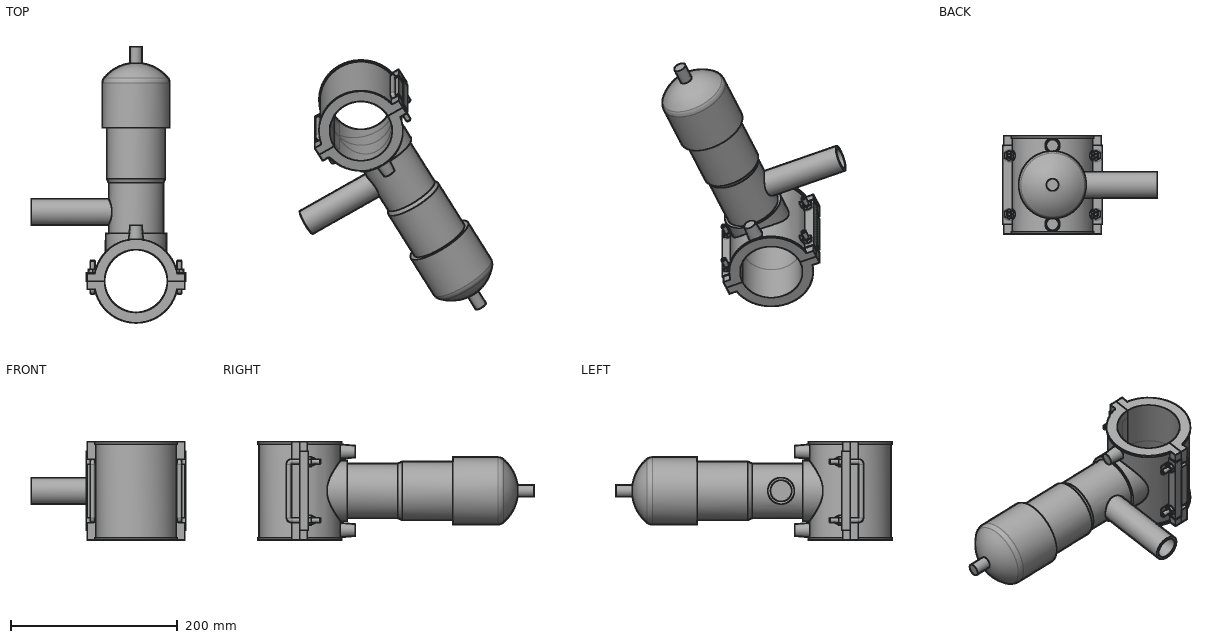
import cadquery as cq
import math


overall_length = 331.7

saddle_height = 118.0
bore_radius = 37.5
shell_radius = 49.0
rim_radius = 50.5
rim_thickness = 3.0
ear_reach = 58.7
upper_ear_thickness = 9.0
lower_ear_thickness = 10.0

plate_reach = 59.7
plate_thickness = 10.0
plate_height = 95.0

bolt_diameter = 6.0
bolt_radius = bolt_diameter / 2
bolt_x = shell_radius + bolt_radius
bolt_z = 35.0
bolt_bend_inner_radius = 0.15
bolt_tip_y = 25.0
bolt_tip_chamfer = 1.0
nut_corner_diameter = 12.0
nut_thickness = 4.0
nut_pocket_diameter = 14.5

collar_radius = 73.3 / 2
collar_end = 57.0
neck_radius = 66.0 / 2
neck_end = 117.8
barrel_radius = 70.5 / 2
barrel_start = 122.7
cap_radius = 81.3 / 2
cap_start = 183.8
dome_radius = 49.8
dome_top = 262.0
dome_edge_fillet = 10.0
stem_radius = 14.5 / 2
stem_top = overall_length - rim_radius

branch_radius = 32.0 / 2
branch_bore_radius = 25.5 / 2
branch_reach = 125.7
branch_y = 83.0

terminal_tip_diameter = 14.5
terminal_tip_y = 66.7
terminal_z = 47.0
terminal_taper = 5.0
terminal_root_y = 43.0

SIDES = (-1, 1)


def upright_cylinder(radius, height):
    """Cylinder on the pipe axis, centred on Z = 0."""
    return cq.Workplane("XY").circle(radius).extrude(height / 2, both=True)


def cylinder_along_y(radius, start, end, x=0, z=0):
    """Cylinder parallel to Y between two Y positions."""
    plane = cq.Plane(origin=(x, start, z), xDir=(1, 0, 0), normal=(0, 1, 0))
    return cq.Workplane(plane).circle(radius).extrude(end - start)


def half_saddle(direction, ear_thickness):
    """Half ring with end rims and two ears, on the +Y (1) or -Y (-1) side."""
    ring = upright_cylinder(shell_radius, saddle_height)
    for end in SIDES:
        rim_center = end * (saddle_height - rim_thickness) / 2
        rim = upright_cylinder(rim_radius, rim_thickness).translate((0, 0, rim_center))
        ring = ring.union(rim)
    half_space = cq.Workplane("XY").box(2 * rim_radius, rim_radius, saddle_height)
    half = ring.intersect(half_space.translate((0, direction * rim_radius / 2, 0)))
    ears = cq.Workplane("XY").box(2 * ear_reach, ear_thickness, saddle_height)
    half = half.union(ears.translate((0, direction * ear_thickness / 2, 0)))
    return half.cut(upright_cylinder(bore_radius, saddle_height))


def pressure_plates():
    """One block through both upper ears, slightly larger than the ears; the bore is cut later."""
    plates = cq.Workplane("XY").box(2 * plate_reach, plate_thickness, plate_height)
    return plates.translate((0, plate_thickness / 2, 0))


def valve_body():
    """Stepped, domed body of revolution about Y, starting at the pipe axis."""
    dome_center = dome_top - dome_radius
    fillet_x = cap_radius - dome_edge_fillet
    fillet_y = dome_center + math.sqrt((dome_radius - dome_edge_fillet) ** 2 - fillet_x**2)
    edge_angle = math.atan2(fillet_y - dome_center, fillet_x)
    fillet_mid_angle = edge_angle / 2
    dome_mid_angle = (edge_angle + math.pi / 2) / 2

    def on_dome(angle):
        return dome_radius * math.cos(angle), dome_center + dome_radius * math.sin(angle)

    def on_fillet(angle):
        return (
            fillet_x + dome_edge_fillet * math.cos(angle),
            fillet_y + dome_edge_fillet * math.sin(angle),
        )

    body = (
        cq.Workplane("XY")
        .lineTo(collar_radius, 0)
        .lineTo(collar_radius, collar_end)
        .lineTo(neck_radius, collar_end)
        .lineTo(neck_radius, neck_end)
        .lineTo(barrel_radius, barrel_start)
        .lineTo(barrel_radius, cap_start)
        .lineTo(cap_radius, cap_start)
        .lineTo(cap_radius, fillet_y)
        .threePointArc(on_fillet(fillet_mid_angle), on_dome(edge_angle))
        .threePointArc(on_dome(dome_mid_angle), (0, dome_top))
        .close()
        .revolve(360, (0, 0, 0), (0, 1, 0))
    )
    return body.union(cylinder_along_y(stem_radius, dome_center, stem_top))


def branch_cylinder(radius, inner_end):
    """Cylinder along X from the open end of the branch to inner_end."""
    outlet = cq.Plane(origin=(-branch_reach, branch_y, 0), xDir=(0, 1, 0), normal=(1, 0, 0))
    return cq.Workplane(outlet).circle(radius).extrude(branch_reach + inner_end)


def terminal(side):
    """Tapered connector on the back of the saddle, widening toward the shell."""
    tip = cq.Plane(origin=(0, terminal_tip_y, side * terminal_z), xDir=(1, 0, 0), normal=(0, -1, 0))
    length = terminal_tip_y - terminal_root_y
    return cq.Workplane(tip).circle(terminal_tip_diameter / 2).extrude(length, taper=-terminal_taper)


def u_bolt(x):
    """Two legs along Y joined by tight bends and a crossbar in front of the lower ear."""
    bend_y = -lower_ear_thickness
    bend_radius = bolt_bend_inner_radius + bolt_radius
    crossbar_y = bend_y - bend_radius
    bend_z = bolt_z - bend_radius
    crossbar_start = cq.Workplane("XY", origin=(x, crossbar_y, -bend_z))
    bolt = crossbar_start.circle(bolt_radius).extrude(2 * bend_z)
    for side in SIDES:
        leg = cylinder_along_y(bolt_radius, bend_y, bolt_tip_y, x, side * bolt_z)
        leg = leg.faces(">Y").chamfer(bolt_tip_chamfer)
        bend = (
            cq.Workplane("XY", origin=(x, crossbar_y, side * bend_z))
            .circle(bolt_radius)
            .revolve(90, (0, bend_radius, 0), (-side, bend_radius, 0))
        )
        bolt = bolt.union(leg).union(bend)
    return bolt


def nut(x, z):
    """Hexagonal nut on the pressure plate, with corners toward +Z and -Z."""
    seat = cq.Plane(origin=(x, plate_thickness, z), xDir=(0, 0, 1), normal=(0, 1, 0))
    return cq.Workplane(seat).polygon(6, nut_corner_diameter).extrude(nut_thickness)


def nut_pocket(x, z):
    """Clearance for the nut, cut into the shell above the pressure plate."""
    return cylinder_along_y(nut_pocket_diameter / 2, plate_thickness, rim_radius, x, z)


def bolt_slot(x_side, z):
    """Slot through a lower ear, open outward and rounded around the bolt leg."""
    x = x_side * bolt_x
    round_end = cylinder_along_y(bolt_radius, -lower_ear_thickness, 0, x, z)
    mouth_length = ear_reach - bolt_x
    mouth = cq.Workplane("XY").box(mouth_length, lower_ear_thickness, bolt_diameter)
    mouth_center = x_side * (bolt_x + mouth_length / 2)
    return round_end.union(mouth.translate((mouth_center, -lower_ear_thickness / 2, z)))


def make_tapping_tee():
    """Upper saddle half with the valve body, branch, terminals, nuts and U-bolts."""
    tee = half_saddle(1, upper_ear_thickness).union(pressure_plates())
    for side in SIDES:
        tee = tee.union(terminal(side))
    tee = tee.union(valve_body())
    tee = tee.union(branch_cylinder(branch_radius, 0))
    tee = tee.cut(branch_cylinder(branch_bore_radius, -neck_radius))
    tee = tee.cut(upright_cylinder(bore_radius, saddle_height))
    for x_side in SIDES:
        x = x_side * bolt_x
        for z in (-bolt_z, bolt_z):
            tee = tee.cut(nut_pocket(x, z)).union(nut(x, z))
        tee = tee.union(u_bolt(x))
    return tee


def make_lower_clamp():
    """Lower saddle half, slotted for the U-bolt legs."""
    clamp = half_saddle(-1, lower_ear_thickness)
    for x_side in SIDES:
        for z in (-bolt_z, bolt_z):
            clamp = clamp.cut(bolt_slot(x_side, z))
    return clamp


tapping_tee = make_tapping_tee()
lower_clamp = make_lower_clamp()
result = cq.Compound.makeCompound([tapping_tee.solids().val(), lower_clamp.solids().val()])